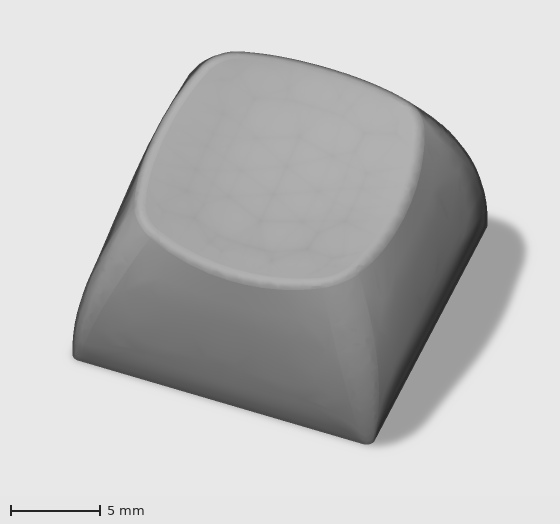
import cadquery as cq

base_side = 18.15
top_side = 13.2
top_bow = 1.7
base_corner_radius = 0.5
top_corner_radius = 4.0
middle_corner_radius = (top_corner_radius - base_corner_radius) / 3
middle_fraction = 1 / 4
height = 12.0
tilt = 9.0

dish_depth = 2.8
dish_side_depth = 1.3
dish_side_inset = 2.0
dish_middle_overhang = 2.0
dish_middle_drop = 0.5
rim_fillet = 0.6


def rounded_square(side, radius):
    return cq.Sketch().rect(side, side).vertices().fillet(radius)


def bowed_square(side, bow, radius):
    """Square with four outward-curved sides and rounded corners."""
    edge = side / 2
    corner = edge - bow
    return (
        cq.Sketch()
        .arc((-corner, -corner), (-edge, 0), (-corner, corner))
        .arc((-corner, corner), (0, edge), (corner, corner))
        .arc((corner, corner), (edge, 0), (corner, -corner))
        .arc((corner, -corner), (0, -edge), (-corner, -corner))
        .assemble()
        .vertices()
        .fillet(radius)
    )


def raised(sketch, fraction):
    """Lift and tilt a section by a fraction of the full height and tilt."""
    lift = cq.Vector(0, 0, height * fraction)
    return sketch.moved(cq.Location(lift, cq.Vector(1, 0, 0), tilt * fraction))


def make_body():
    base = rounded_square(base_side, base_corner_radius)
    middle = rounded_square(base_side, middle_corner_radius)
    top = bowed_square(top_side, top_bow, top_corner_radius)
    sections = [base, raised(middle, middle_fraction), raised(top, 1)]
    wires = [section.reset().faces().val().outerWire() for section in sections]
    return cq.Workplane(cq.Solid.makeLoft(wires))


def dish_profile(plane, half_width, end_drop, depth):
    """Closed outline with an arched underside, open space above the keycap."""
    half_base = base_side / 2
    return (
        plane.moveTo(-half_width, -end_drop)
        .threePointArc((0, -depth), (half_width, -end_drop))
        .lineTo(half_base, height)
        .lineTo(-half_base, height)
        .close()
    )


def make_dish():
    half_base = base_side / 2
    side_half_width = half_base - dish_side_inset
    middle_half_width = half_base + dish_middle_overhang
    plane = cq.Workplane("YZ").transformed(offset=(0, height, half_base), rotate=(0, 0, tilt))
    dish = dish_profile(plane, side_half_width, 0, dish_side_depth)
    dish = dish.workplane(offset=-half_base)
    dish = dish_profile(dish, middle_half_width, dish_middle_drop, dish_depth)
    dish = dish.workplane(offset=-half_base)
    dish = dish_profile(dish, side_half_width, 0, dish_side_depth)
    return dish.loft()


body = make_body().cut(make_dish())

dish_face = cq.selectors.NearestToPointSelector((0, 0, height))
result = body.faces(dish_face).edges().fillet(rim_fillet)